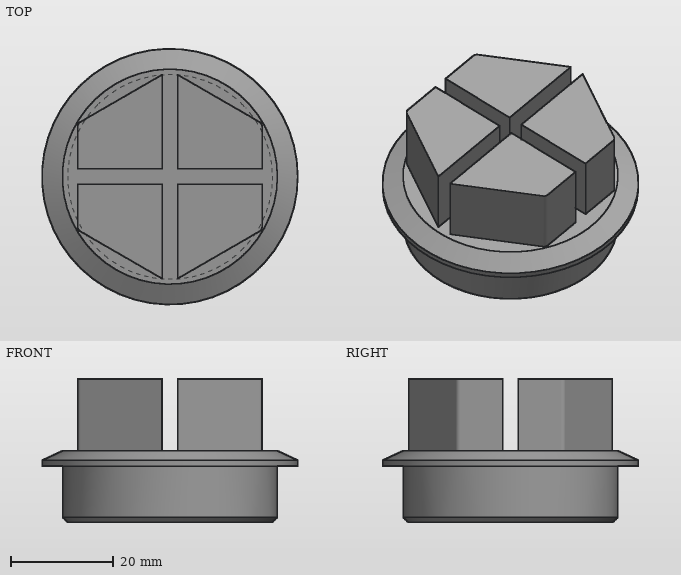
import cadquery as cq
import math

body_diameter = 42.0
body_height = 11.0
body_chamfer = 1.0

flange_diameter = 50.0
flange_height = 3.0
shoulder_angle = 25.0
shoulder_height = (flange_diameter - body_diameter) / 2 * math.tan(math.radians(shoulder_angle))
rim_height = flange_height - shoulder_height
flange_top = body_height + flange_height

total_height = 28.0
head_height = total_height - flange_top
hex_across_flats = 36.0
hex_corner_radius = 1.0
slot_width = 3.0


def make_base():
    """Revolved body and flange, with a chamfered lower edge."""
    body_radius = body_diameter / 2
    flange_radius = flange_diameter / 2
    profile = (
        cq.Workplane("XZ")
        .lineTo(body_radius - body_chamfer, 0)
        .lineTo(body_radius, body_chamfer)
        .lineTo(body_radius, body_height)
        .lineTo(flange_radius, body_height)
        .lineTo(flange_radius, body_height + rim_height)
        .lineTo(body_radius, flange_top)
        .lineTo(0, flange_top)
        .close()
    )
    return profile.revolve(360, (0, 0), (0, 1))


def make_head():
    """Hexagonal head with flats facing +X and -X, cut by a cross slot."""
    hex_across_corners = hex_across_flats / math.cos(math.pi / 6)
    head = (
        cq.Workplane("XY", origin=(0, 0, flange_top))
        .transformed(rotate=(0, 0, 90))
        .polygon(6, hex_across_corners)
        .extrude(head_height)
        .edges("|Z")
        .fillet(hex_corner_radius)
    )
    for slot_size in ((hex_across_corners, slot_width), (slot_width, hex_across_corners)):
        slot = (
            cq.Workplane("XY", origin=(0, 0, flange_top))
            .rect(*slot_size)
            .extrude(head_height)
        )
        head = head.cut(slot)
    return head


result = make_base().union(make_head())